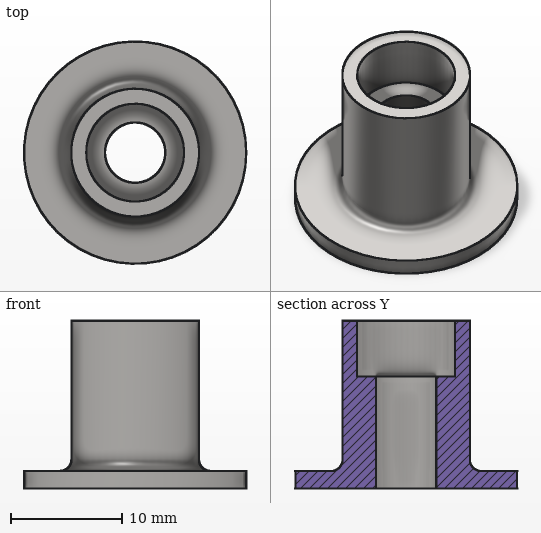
import cadquery as cq

flange_diameter = 20.0
flange_thickness = 1.6
sleeve_diameter = 11.5
total_height = 15.1
root_fillet_radius = 1.0
through_hole_diameter = 5.4
counterbore_diameter = 8.8
counterbore_depth = 5.0


def make_flange():
    """Round flange with its underside on the XY plane."""
    return cq.Workplane("XY").circle(flange_diameter / 2).extrude(flange_thickness)


def add_sleeve(body):
    """Upright sleeve on the flange, blended into it by a concave fillet."""
    sleeve_height = total_height - flange_thickness
    sleeve = (
        cq.Workplane("XY", origin=(0, 0, flange_thickness))
        .circle(sleeve_diameter / 2)
        .extrude(sleeve_height)
    )
    smallest_circles = cq.selectors.RadiusNthSelector(0)
    root_edge = body.union(sleeve).edges(smallest_circles).edges("<Z")
    return root_edge.fillet(root_fillet_radius)


def cut_stepped_bore(body):
    """Through hole along the axis, counterbored from the open top of the sleeve."""
    return (
        body.faces(">Z")
        .workplane()
        .cboreHole(through_hole_diameter, counterbore_diameter, counterbore_depth)
    )


result = cut_stepped_bore(add_sleeve(make_flange()))